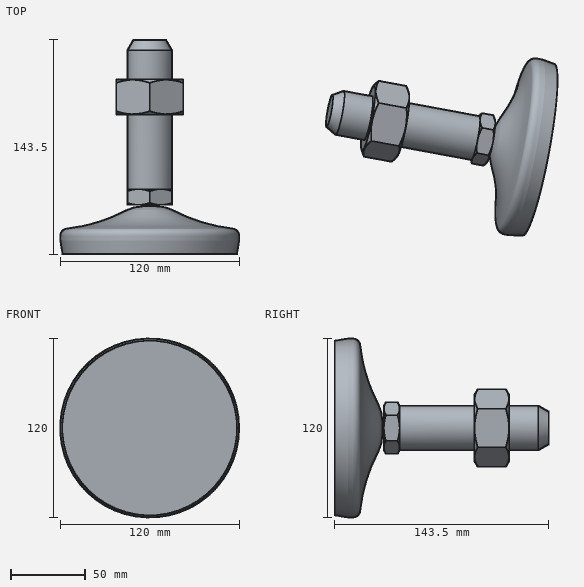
import cadquery as cq
import math


plate_diameter = 120.0
sole_diameter = 117.0
taper_height = 9.0
rim_height = 12.2
rim_radius = 5.0
plate_top = 32.0
crown_radius = 23.0
crown_flat_radius = 5.0
crown_angle = math.radians(27.5)

neck_diameter = 10.0
stud_diameter = 30.0
stud_bottom = 33.0
stud_top = 143.5
tip_length = 7.0
tip_angle = math.radians(30)

hex_width = 30.0
hex_height = 10.5
nut_width = 45.0
nut_height = 23.5
nut_bottom = 93.5
nut_face_diameter = 44.0
hex_chamfer_angle = math.radians(30)


def revolve_about_y(profile):
    """Close a half profile along the Y axis and turn it through a full circle."""
    return profile.close().revolve(360, (0, 0, 0), (0, 1, 0))


def foot_plate():
    """Tapered disc whose rounded rim flares up, in tangent arcs, to a domed crown."""
    plate_radius = plate_diameter / 2
    rim_x = plate_radius - rim_radius
    crown_y = plate_top - crown_radius
    sine = math.sin(crown_angle)
    cosine = math.cos(crown_angle)
    crown_end = (crown_flat_radius + crown_radius * sine, crown_y + crown_radius * cosine)

    dx = crown_end[0] - rim_x
    dy = crown_end[1] - rim_height
    flare_radius = (dx**2 + dy**2 - rim_radius**2) / (2 * (rim_radius - dx * sine - dy * cosine))
    flare_x = crown_end[0] + flare_radius * sine
    flare_y = crown_end[1] + flare_radius * cosine
    rim_share = rim_radius / (flare_radius + rim_radius)
    flare_end = (
        rim_x + rim_share * (flare_x - rim_x),
        rim_height + rim_share * (flare_y - rim_height),
    )

    profile = (
        cq.Workplane("XY")
        .lineTo(sole_diameter / 2, 0)
        .lineTo(plate_radius, taper_height)
        .lineTo(plate_radius, rim_height)
        .tangentArcPoint(flare_end, relative=False)
        .tangentArcPoint(crown_end, relative=False)
        .tangentArcPoint((crown_flat_radius, plate_top), relative=False)
        .lineTo(0, plate_top)
    )
    return revolve_about_y(profile)


def stud():
    """Round stud with a conical tip, on a thin neck that starts inside the plate."""
    stud_radius = stud_diameter / 2
    neck_radius = neck_diameter / 2
    tip_radius = stud_radius - tip_length * math.tan(tip_angle)
    profile = (
        cq.Workplane("XY")
        .moveTo(0, rim_height)
        .lineTo(neck_radius, rim_height)
        .lineTo(neck_radius, stud_bottom)
        .lineTo(stud_radius, stud_bottom)
        .lineTo(stud_radius, stud_top - tip_length)
        .lineTo(tip_radius, stud_top)
        .lineTo(0, stud_top)
    )
    return revolve_about_y(profile)


def chamfered_hexagon(width, height, bottom, face_diameter):
    """Hexagon with flats facing +X and -X, its corners turned to a cone at both ends."""
    corner_radius = width / math.sqrt(3)
    face_radius = face_diameter / 2
    chamfer_height = (corner_radius - face_radius) * math.tan(hex_chamfer_angle)
    top = bottom + height
    corner_angles = [math.radians(60 * corner) for corner in range(6)]
    corners = [(corner_radius * math.sin(a), corner_radius * math.cos(a)) for a in corner_angles]
    prism = cq.Workplane("XZ", origin=(0, bottom, 0)).polyline(corners).close().extrude(-height)
    envelope = (
        cq.Workplane("XY")
        .moveTo(0, bottom)
        .lineTo(face_radius, bottom)
        .lineTo(corner_radius, bottom + chamfer_height)
        .lineTo(corner_radius, top - chamfer_height)
        .lineTo(face_radius, top)
        .lineTo(0, top)
    )
    return prism.intersect(revolve_about_y(envelope))


stud_hexagon = chamfered_hexagon(hex_width, hex_height, stud_bottom, stud_diameter)
lock_nut = chamfered_hexagon(nut_width, nut_height, nut_bottom, nut_face_diameter)

result = foot_plate().union(stud()).union(stud_hexagon).union(lock_nut)